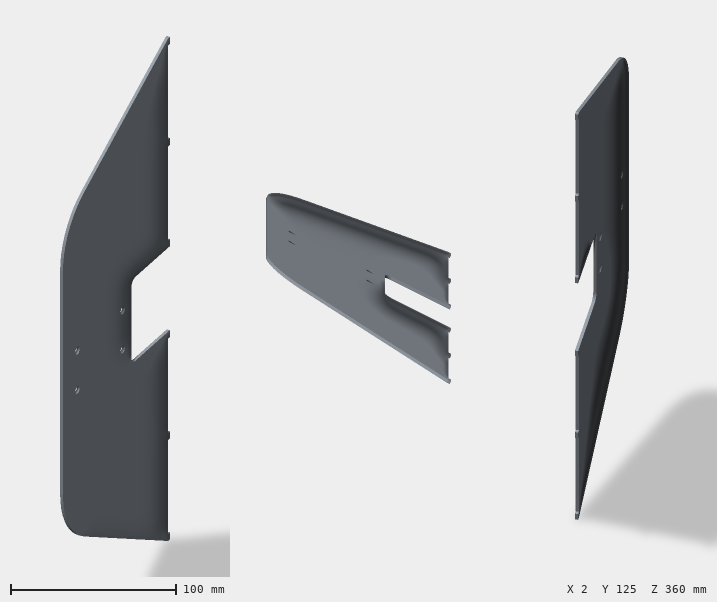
import cadquery as cq
import math

thickness = 2.0
width = 125.0
height = 360.0
slope_angle = 30.0
corner_radius = 50.0

tab_depth = 2.0
tab_height = 5.0

notch_depth = 45.0
notch_height = 60.0
notch_radius = 5.0

hole_diameter = 5.0
hole_spacing_y = 53.0
hole_spacing_z = 28.0
hole_inset = 17.0

tab_edge_y = width / 2
body_edge_y = tab_edge_y - tab_depth
outer_edge_y = -width / 2
half_height = height / 2


def centred_block(y_min, y_max, z_centre, z_size):
    """Block through the plate thickness, spanning the given Y range."""
    y_size = y_max - y_min
    y_centre = (y_min + y_max) / 2
    return cq.Workplane("XY").box(thickness, y_size, z_size).translate((0, y_centre, z_centre))


def make_body():
    """Trapezoidal plate with rounded corners on its shorter -Y edge."""
    body = centred_block(outer_edge_y, body_edge_y, 0, height)
    for side in (1, -1):
        run = body_edge_y - outer_edge_y
        sloped_cut = (
            cq.Workplane("YZ")
            .moveTo(body_edge_y, side * half_height)
            .lineTo(outer_edge_y, side * half_height)
            .lineTo(outer_edge_y, side * (half_height - run * math.tan(math.radians(slope_angle))))
            .close()
            .extrude(thickness / 2, both=True)
        )
        body = body.cut(sloped_cut)
    return body.edges("|X and <Y").fillet(corner_radius)


def add_tabs(body):
    """Each half of the +Y edge has a tab at both ends and one midway."""
    outer_tab_z = (height - tab_height) / 2
    inner_tab_z = (notch_height + tab_height) / 2
    middle_tab_z = (outer_tab_z + inner_tab_z) / 2
    for tab_z in (inner_tab_z, middle_tab_z, outer_tab_z):
        for side in (1, -1):
            body = body.union(centred_block(body_edge_y, tab_edge_y, side * tab_z, tab_height))
    return body


def cut_notch(body):
    """Rectangular notch with rounded inner corners."""
    notch = centred_block(tab_edge_y - notch_depth, tab_edge_y, 0, notch_height)
    return body.cut(notch.edges("|X and <Y").fillet(notch_radius))


def cut_holes(body):
    """Rectangular pattern of holes through the thickness."""
    pattern_y = outer_edge_y + hole_inset + hole_spacing_y / 2
    holes = (
        cq.Workplane("YZ")
        .center(pattern_y, 0)
        .rarray(hole_spacing_y, hole_spacing_z, 2, 2)
        .circle(hole_diameter / 2)
        .extrude(thickness / 2, both=True)
    )
    return body.cut(holes)


result = cut_holes(cut_notch(add_tabs(make_body())))